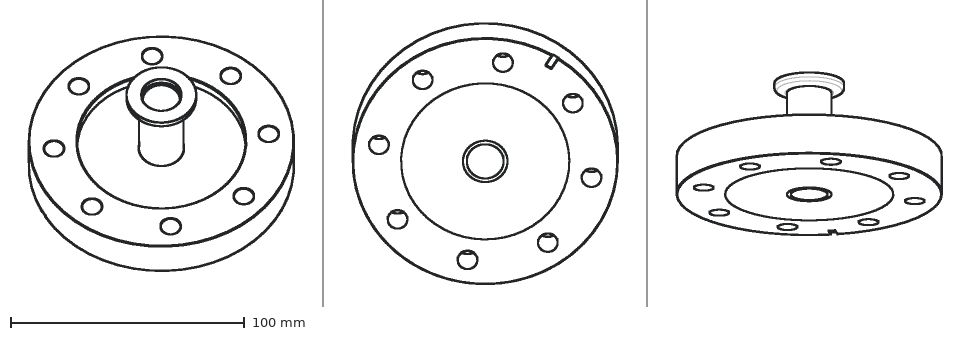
import cadquery as cq
import math

TOTAL_HEIGHT = 50.0

RING_DIAMETER = 113.5
RING_THICKNESS = 17.6
RING_EDGE_CHAMFER = 0.28
POCKET_EDGE_CHAMFER = 0.4
BOLT_COUNT = 8
BOLT_CIRCLE_DIAMETER = 92.1
BOLT_HOLE_DIAMETER = 8.4
BOLT_HOLE_CHAMFER = 0.2
BOLT_CHAMFER_ANGLE = 90.0
BOLT_ROTATION = -1.3

NOTCH_WIDTH = 3.0
NOTCH_HEIGHT = 1.0
NOTCH_DEPTH = 5.7
NOTCH_PITCHES = -2.5

DISC_DIAMETER = 71.9
POCKET_DEPTH = 4.8
DISC_THICKNESS = RING_THICKNESS - POCKET_DEPTH
TUBE_SEAT_CHAMFER = 0.2

CLAMP_DIAMETER = 30.0
CLAMP_EDGE_CHAMFER = 0.1
CLAMP_EDGE_HEIGHT = 3.2
CLAMP_EDGE_RADIUS = 1.5
CLAMP_CONE_ANGLE = 15.0
CLAMP_NECK_DIAMETER = 20.7
CLAMP_RECESS_DIAMETER = 17.0
CLAMP_RECESS_DEPTH = 2.5
CLAMP_BORE_DIAMETER = 16.2
TUBE_END_DEPTH = 3.4

TUBE_OUTER_DIAMETER = 19.1
TUBE_INNER_DIAMETER = 15.8
TUBE_TOP = TOTAL_HEIGHT - TUBE_END_DEPTH


def make_ring():
    """Bolt ring with chamfered edges, bolt holes and one leak-check notch."""
    ring = (
        cq.Workplane("XY")
        .circle(RING_DIAMETER / 2)
        .circle(DISC_DIAMETER / 2)
        .extrude(RING_THICKNESS)
    )
    bore_edge = cq.selectors.RadiusNthSelector(0)
    outer_edges = cq.selectors.RadiusNthSelector(-1)
    ring = ring.edges(outer_edges).chamfer(RING_EDGE_CHAMFER)
    ring = ring.faces(">Z").edges(bore_edge).chamfer(POCKET_EDGE_CHAMFER)

    ring = (
        ring.faces(">Z")
        .workplane(origin=(0, 0, RING_THICKNESS))
        .transformed(rotate=(0, 0, BOLT_ROTATION))
        .polarArray(BOLT_CIRCLE_DIAMETER / 2, 0, 360, BOLT_COUNT)
        .cskHole(BOLT_HOLE_DIAMETER, BOLT_HOLE_DIAMETER + 2 * BOLT_HOLE_CHAMFER, BOLT_CHAMFER_ANGLE)
    )

    notch_angle = BOLT_ROTATION + NOTCH_PITCHES * 360 / BOLT_COUNT
    notch = (
        cq.Workplane("XY")
        .box(NOTCH_DEPTH, NOTCH_WIDTH, NOTCH_HEIGHT, centered=(False, True, False))
        .translate((RING_DIAMETER / 2 - NOTCH_DEPTH, 0, 0))
        .rotate((0, 0, 0), (0, 0, 1), notch_angle)
    )
    return ring.cut(notch)


def make_disc():
    """Center disc with a chamfered through hole that seats the tube."""
    disc = (
        cq.Workplane("XY")
        .circle(DISC_DIAMETER / 2)
        .circle(TUBE_OUTER_DIAMETER / 2)
        .extrude(DISC_THICKNESS)
    )
    hole_edge = cq.selectors.RadiusNthSelector(0)
    return disc.faces(">Z").edges(hole_edge).chamfer(TUBE_SEAT_CHAMFER)


def make_tube():
    """Straight tube from the base face up into the clamp flange."""
    return (
        cq.Workplane("XY")
        .circle(TUBE_OUTER_DIAMETER / 2)
        .circle(TUBE_INNER_DIAMETER / 2)
        .extrude(TUBE_TOP)
    )


def make_clamp_flange():
    """Revolved clamp flange: rounded rim, conical back, stepped bore and tube socket."""
    rim_radius = CLAMP_DIAMETER / 2
    neck_radius = CLAMP_NECK_DIAMETER / 2
    cone_drop = (rim_radius - neck_radius) * math.tan(math.radians(CLAMP_CONE_ANGLE))
    rim_corner_z = TOTAL_HEIGHT - CLAMP_EDGE_HEIGHT
    neck_z = rim_corner_z - cone_drop
    recess_radius = CLAMP_RECESS_DIAMETER / 2
    recess_z = TOTAL_HEIGHT - CLAMP_RECESS_DEPTH
    chamfer_z = TOTAL_HEIGHT - CLAMP_EDGE_CHAMFER

    profile = [
        (recess_radius + CLAMP_EDGE_CHAMFER, TOTAL_HEIGHT),
        (rim_radius - CLAMP_EDGE_CHAMFER, TOTAL_HEIGHT),
        (rim_radius, chamfer_z),
        (rim_radius, rim_corner_z),
        (neck_radius, neck_z),
        (TUBE_OUTER_DIAMETER / 2, neck_z),
        (TUBE_OUTER_DIAMETER / 2, TUBE_TOP),
        (CLAMP_BORE_DIAMETER / 2, TUBE_TOP),
        (CLAMP_BORE_DIAMETER / 2, recess_z),
        (recess_radius, recess_z),
        (recess_radius, chamfer_z),
    ]
    flange = cq.Workplane("XZ").polyline(profile).close().revolve(360, (0, 0, 0), (0, 1, 0))
    widest_edges = cq.selectors.RadiusNthSelector(-1)
    return flange.edges(widest_edges).edges("<Z").fillet(CLAMP_EDGE_RADIUS)


ring = make_ring()
disc = make_disc()
tube = make_tube()
clamp_flange = make_clamp_flange()

result = cq.Compound.makeCompound(
    [ring.solids().val(), disc.solids().val(), tube.solids().val(), clamp_flange.solids().val()]
)